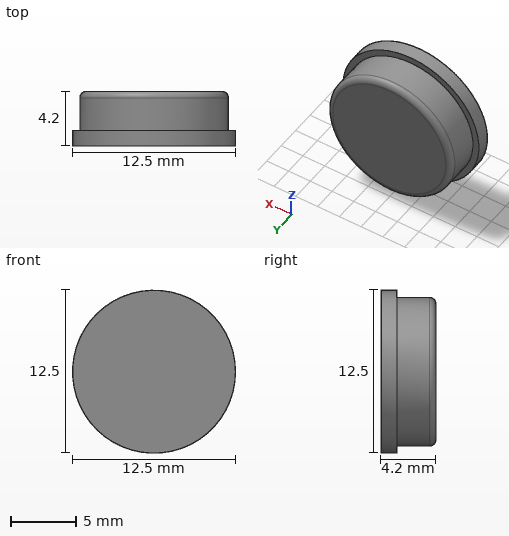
import cadquery as cq

flange_diameter = 12.5
body_diameter = 11.4
total_length = 4.2
flange_thickness = 1.2
body_edge_radius = 0.5

body_length = total_length - flange_thickness

flange = cq.Workplane("XZ").circle(flange_diameter / 2).extrude(-flange_thickness)

body = (
    cq.Workplane("XZ", origin=(0, flange_thickness, 0))
    .circle(body_diameter / 2)
    .extrude(-body_length)
    .faces(">Y")
    .edges()
    .fillet(body_edge_radius)
)

result = flange.union(body)